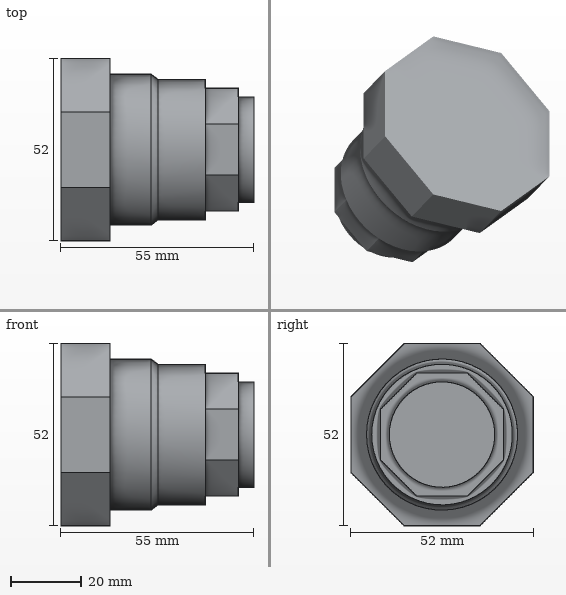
import cadquery as cq
import math

LENGTH = 55.0
HEAD_LENGTH = 13.95
COLLAR_LENGTH = 11.65
TAPER_LENGTH = 2.0
BARREL_LENGTH = 13.55
NUT_LENGTH = 9.35

HEAD_START = -LENGTH / 2
HEAD_END = HEAD_START + HEAD_LENGTH
COLLAR_END = HEAD_END + COLLAR_LENGTH
TAPER_END = COLLAR_END + TAPER_LENGTH
BODY_END = TAPER_END + BARREL_LENGTH
NUT_END = BODY_END + NUT_LENGTH
SLEEVE_END = LENGTH / 2

OCTAGON_SIDES = 8
HEAD_ACROSS_FLATS = 52.0
NUT_ACROSS_FLATS = 35.0
COLLAR_RADIUS = 21.5
BARREL_RADIUS = 20.0
SLEEVE_RADIUS = 15.0
PIN_RADIUS = 5.0


def octagon(start, end, across_flats):
    """Octagonal prism along X with flats facing Y and Z."""
    across_corners = across_flats / math.cos(math.pi / OCTAGON_SIDES)
    half_side_angle = 180 / OCTAGON_SIDES
    return (
        cq.Workplane("YZ", origin=(start, 0, 0))
        .polygon(OCTAGON_SIDES, across_corners)
        .extrude(end - start)
        .rotate((0, 0, 0), (1, 0, 0), half_side_angle)
    )


def turned(outline):
    """Solid of revolution about X from (x, radius) points, closed along the axis."""
    start = outline[0][0]
    end = outline[-1][0]
    points = [(start, 0)] + [(x, -radius) for x, radius in outline] + [(end, 0)]
    return cq.Workplane("XY").polyline(points).close().revolve(360, (0, 0), (1, 0))


def make_pin():
    """Round pin, flush with both faces of the head."""
    return turned([(HEAD_START, PIN_RADIUS), (HEAD_END, PIN_RADIUS)])


def make_head():
    """Octagonal head with a through hole that fits the pin."""
    return octagon(HEAD_START, HEAD_END, HEAD_ACROSS_FLATS).cut(make_pin())


def make_body():
    """Turned body: wide collar, short taper and narrower barrel."""
    return turned([
        (HEAD_END, COLLAR_RADIUS),
        (COLLAR_END, COLLAR_RADIUS),
        (TAPER_END, BARREL_RADIUS),
        (BODY_END, BARREL_RADIUS),
    ])


def make_nut():
    """Smaller octagonal nut against the end of the body."""
    return octagon(BODY_END, NUT_END, NUT_ACROSS_FLATS)


def make_sleeve():
    """Short round end piece beyond the nut."""
    return turned([(NUT_END, SLEEVE_RADIUS), (SLEEVE_END, SLEEVE_RADIUS)])


pin = make_pin()
head = make_head()
body = make_body()
nut = make_nut()
sleeve = make_sleeve()

result = cq.Compound.makeCompound([pin.val(), head.val(), body.val(), nut.val(), sleeve.val()])